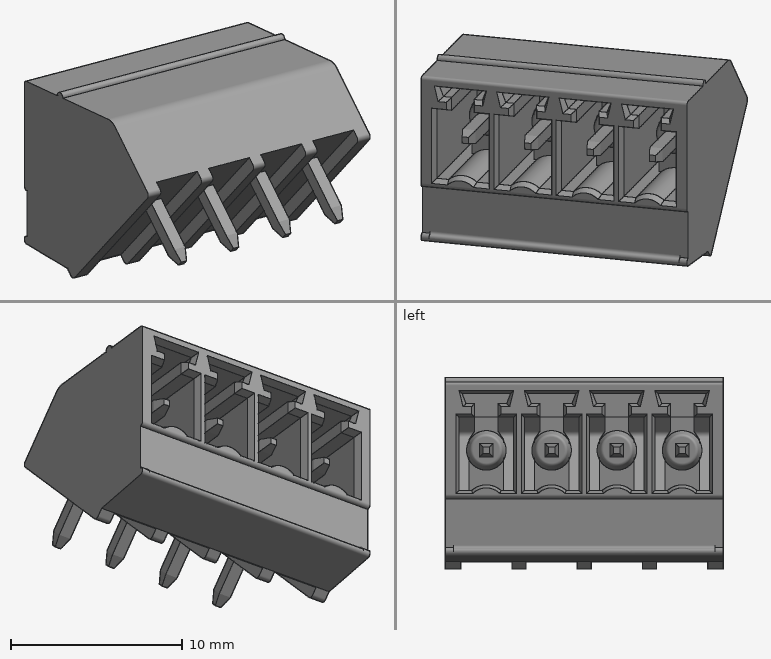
import cadquery as cq
import math

WIDTH = 16.24
POLES = 4
PITCH = 3.81
BODY_TOP = 10.9
SLOPE_TOP_X = 8.51
MOUNT_OFFSET = 4.82
TOE_SUM = 4.58
HEEL_X = 4.15
TOP_FRONT_RADIUS = 0.2
SLOPE_RADIUS = 0.93
TIP_RADIUS = 0.28
RIDGE_X = 3.46
RIDGE_RADIUS = 0.28

PANEL_X = 0.25
STEP_TOP = 4.34
BEAD_NOSE_Z = 1.0
BEAD_BLEND_HEIGHT = 0.35
BEAD_END_LENGTH = 0.49

CHANNEL_WIDTH = 2.97
CHANNEL_DEPTH = 0.73

LEAD_IN = 0.49
TAPER = 0.18
CAVITY_HALF_WIDTH = 1.59
CAVITY_FLOOR = 4.58
CAVITY_CEILING = 8.85
NECK_HALF_WIDTH = 0.68
KEY_FLOOR = 9.65
KEY_TOP = 10.23
KEY_HALF_BOTTOM = 1.19
KEY_HALF_TOP = 1.41

KEY_DEPTH = 4.87
REAR_ROOF_SUM = 18.33
REAR_FLOOR_OFFSET = 2.7
REAR_RADIUS = 0.3
HUMP_RADIUS = 1.3
HUMP_AXIS_Z = 3.6

HOLDER_X = 5.52
HOLDER_HALF_WIDTH = 1.0
HOLDER_SHOULDER_Z = 7.55
HOLDER_NECK_Z = 8.04
BOSS_LENGTH = 0.65
BOSS_BASE_RADIUS = 1.15
BOSS_END_RADIUS = 0.9
BOSS_ROUND = 0.2

PIN_SIZE = 0.8
PIN_TIP_SIZE = 0.39
PIN_TAPER = 0.78
PIN_Z = 6.92
PIN_FRONT_X = 0.97
BEND_X = 7.83
LEG_LENGTH = 6.1
LEG_ANGLE = 45

slope_sum = SLOPE_TOP_X + BODY_TOP
pole_positions = [WIDTH / 2 + PITCH * (i - (POLES - 1) / 2) for i in range(POLES)]


def crossing(total, difference):
    """Point (x, z) where x + z = total meets x - z = difference."""
    return ((total + difference) / 2, (total - difference) / 2)


def extrude_along_y(sketch, start, length):
    """Extrude an XZ sketch towards +Y, beginning at y = start."""
    return sketch.extrude(-length).translate((0, start, 0))


def housing_section(start, length, blended_bead):
    """Slice of the housing; its bead meets the panel sharply or through a small blend."""
    sketch = (
        cq.Workplane("XZ")
        .moveTo(0, BODY_TOP)
        .lineTo(SLOPE_TOP_X, BODY_TOP)
        .lineTo(*crossing(slope_sum, MOUNT_OFFSET))
        .lineTo(*crossing(TOE_SUM, MOUNT_OFFSET))
        .lineTo(HEEL_X, TOE_SUM - HEEL_X)
        .lineTo(PANEL_X, BEAD_NOSE_Z - PANEL_X)
        .radiusArc((0, BEAD_NOSE_Z), PANEL_X)
    )
    if blended_bead:
        radius = (PANEL_X**2 + BEAD_BLEND_HEIGHT**2) / (4 * PANEL_X)
        sketch = sketch.radiusArc((PANEL_X / 2, BEAD_NOSE_Z + BEAD_BLEND_HEIGHT / 2), radius)
        sketch = sketch.radiusArc((PANEL_X, BEAD_NOSE_Z + BEAD_BLEND_HEIGHT), -radius)
    else:
        sketch = sketch.radiusArc((PANEL_X, BEAD_NOSE_Z + PANEL_X), PANEL_X)
    sketch = (
        sketch.lineTo(PANEL_X, STEP_TOP - PANEL_X)
        .radiusArc((0, STEP_TOP), PANEL_X)
        .close()
    )
    return extrude_along_y(sketch, start, length)


def ridge():
    """Half-round rib across the top face."""
    sketch = cq.Workplane("XZ").center(RIDGE_X, BODY_TOP).circle(RIDGE_RADIUS)
    return extrude_along_y(sketch, 0, WIDTH)


def housing():
    middle_length = WIDTH - 2 * BEAD_END_LENGTH
    body = (
        housing_section(0, BEAD_END_LENGTH, False)
        .union(housing_section(BEAD_END_LENGTH, middle_length, True))
        .union(housing_section(WIDTH - BEAD_END_LENGTH, BEAD_END_LENGTH, False))
        .clean()
    )
    rounded_corners = [
        ((0, BODY_TOP), TOP_FRONT_RADIUS),
        ((SLOPE_TOP_X, BODY_TOP), SLOPE_RADIUS),
        (crossing(slope_sum, MOUNT_OFFSET), TIP_RADIUS),
        (crossing(TOE_SUM, MOUNT_OFFSET), TIP_RADIUS),
    ]
    for (x, z), radius in rounded_corners:
        corner = cq.selectors.NearestToPointSelector((x, WIDTH / 2, z))
        body = body.edges("|Y").edges(corner).fillet(radius)
    return body.union(ridge())


def foot_channel():
    """Channel straight along the whole mounting face, centred on y = 0."""
    depth_offset = MOUNT_OFFSET - CHANNEL_DEPTH * math.sqrt(2)
    sketch = cq.Workplane("XZ").polyline([
        crossing(slope_sum, depth_offset),
        crossing(slope_sum, MOUNT_OFFSET),
        crossing(TOE_SUM, MOUNT_OFFSET),
        crossing(TOE_SUM, depth_offset),
    ]).close()
    return extrude_along_y(sketch, -CHANNEL_WIDTH / 2, CHANNEL_WIDTH)


def mouth_outline(taper):
    """Keyhole outline in (y, z), widened by the taper."""
    floor_z = CAVITY_FLOOR - taper
    half = [
        (CAVITY_HALF_WIDTH + taper, floor_z),
        (CAVITY_HALF_WIDTH + taper, CAVITY_CEILING + taper),
        (NECK_HALF_WIDTH + taper, CAVITY_CEILING + taper),
        (NECK_HALF_WIDTH + taper, KEY_FLOOR - taper),
        (KEY_HALF_BOTTOM + taper, KEY_FLOOR - taper),
        (KEY_HALF_TOP + taper, KEY_TOP + taper),
    ]
    return half + [(-y, z) for y, z in reversed(half)]


def opening():
    """Hollow of one pole, centred on y = 0."""
    mouth = (
        cq.Workplane("YZ")
        .polyline(mouth_outline(TAPER))
        .close()
        .workplane(offset=LEAD_IN)
        .polyline(mouth_outline(0))
        .close()
        .loft(ruled=True)
    )
    key = (
        cq.Workplane("YZ", origin=(LEAD_IN, 0, 0))
        .polyline(mouth_outline(0))
        .close()
        .extrude(KEY_DEPTH - LEAD_IN)
    )
    chamber_sketch = cq.Workplane("XZ").polyline([
        (LEAD_IN, CAVITY_FLOOR),
        (CAVITY_FLOOR + REAR_FLOOR_OFFSET, CAVITY_FLOOR),
        crossing(REAR_ROOF_SUM, REAR_FLOOR_OFFSET),
        (REAR_ROOF_SUM - CAVITY_CEILING, CAVITY_CEILING),
        (LEAD_IN, CAVITY_CEILING),
    ]).close()
    chamber = extrude_along_y(chamber_sketch, -CAVITY_HALF_WIDTH, 2 * CAVITY_HALF_WIDTH)
    chamber = chamber.edges("|Y").edges(">X").fillet(REAR_RADIUS)
    return mouth.union(key).union(chamber)


def floor_hump():
    """Rounded rib along the opening floor, tapered at the mouth like the floor."""
    sketch = cq.Workplane("XZ").polyline([
        (0, HUMP_AXIS_Z),
        (0, HUMP_AXIS_Z + HUMP_RADIUS - TAPER),
        (LEAD_IN, HUMP_AXIS_Z + HUMP_RADIUS),
        (HOLDER_X, HUMP_AXIS_Z + HUMP_RADIUS),
        (HOLDER_X, HUMP_AXIS_Z),
    ]).close()
    return sketch.revolve(360, (0, HUMP_AXIS_Z), (1, HUMP_AXIS_Z))


def contact_holder():
    """Web at the back of the opening with a round boss around the pin."""
    half = [
        (HOLDER_HALF_WIDTH, CAVITY_FLOOR),
        (HOLDER_HALF_WIDTH, HOLDER_SHOULDER_Z),
        (NECK_HALF_WIDTH, HOLDER_NECK_Z),
        (NECK_HALF_WIDTH, CAVITY_CEILING),
    ]
    web = (
        cq.Workplane("YZ", origin=(HOLDER_X, 0, 0))
        .polyline(half + [(-y, z) for y, z in reversed(half)])
        .close()
        .extrude(slope_sum - HOLDER_X)
    )
    boss = (
        cq.Workplane("YZ", origin=(HOLDER_X, 0, PIN_Z))
        .circle(BOSS_BASE_RADIUS)
        .workplane(offset=-BOSS_LENGTH)
        .circle(BOSS_END_RADIUS)
        .loft()
        .faces("<X")
        .edges()
        .fillet(BOSS_ROUND)
    )
    return web.union(boss)


def pin_arm(length):
    """Square bar along +X from the origin, ending in a tapered tip."""
    shank = length - PIN_TAPER
    bar = cq.Workplane("YZ").rect(PIN_SIZE, PIN_SIZE).extrude(shank)
    tip = (
        cq.Workplane("YZ", origin=(shank, 0, 0))
        .rect(PIN_SIZE, PIN_SIZE)
        .workplane(offset=PIN_TAPER)
        .rect(PIN_TIP_SIZE, PIN_TIP_SIZE)
        .loft()
    )
    return bar.union(tip)


def pin():
    """Contact arm pointing to -X and solder leg square to the mounting face."""
    contact = pin_arm(BEND_X - PIN_FRONT_X).rotate((0, 0, 0), (0, 0, 1), 180)
    leg = pin_arm(LEG_LENGTH).rotate((0, 0, 0), (0, 1, 0), LEG_ANGLE)
    return contact.union(leg).translate((BEND_X, 0, PIN_Z))


hollow = opening().cut(floor_hump()).cut(contact_holder())
result = housing()
for y in pole_positions:
    result = (
        result.cut(hollow.translate((0, y, 0)))
        .cut(foot_channel().translate((0, y, 0)))
        .union(pin().translate((0, y, 0)))
    )